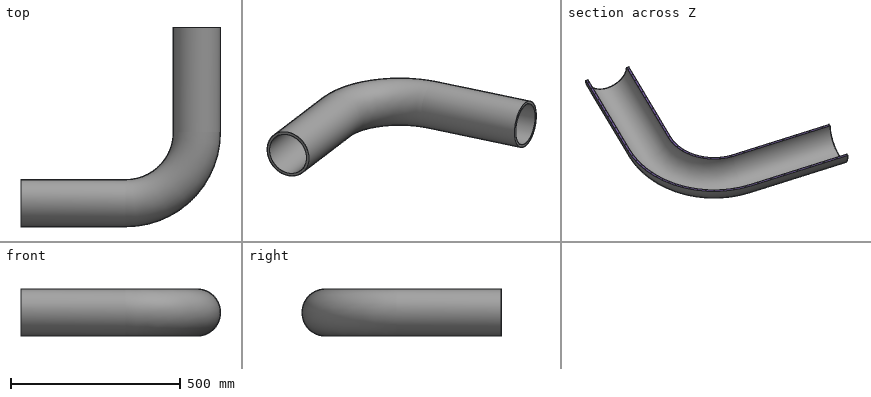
import cadquery as cq

overall_length = 590.0
outer_diameter = 140.0
bore_diameter = 123.5
bend_radius = 1.5 * outer_diameter
bend_angle = 90

leg_length = overall_length - bend_radius - outer_diameter / 2


def pipe_section(plane, origin):
    """Ring-shaped cross-section of the pipe wall."""
    return (
        cq.Workplane(plane, origin=origin)
        .circle(outer_diameter / 2)
        .circle(bore_diameter / 2)
    )


first_leg = pipe_section("YZ", (0, 0, 0)).extrude(leg_length)

elbow = pipe_section("YZ", (leg_length, 0, 0)).revolve(
    bend_angle, (bend_radius, 0), (bend_radius, 1)
)

elbow_end = (leg_length + bend_radius, bend_radius, 0)
second_leg = pipe_section("ZX", elbow_end).extrude(leg_length)

result = first_leg.union(elbow).union(second_leg)